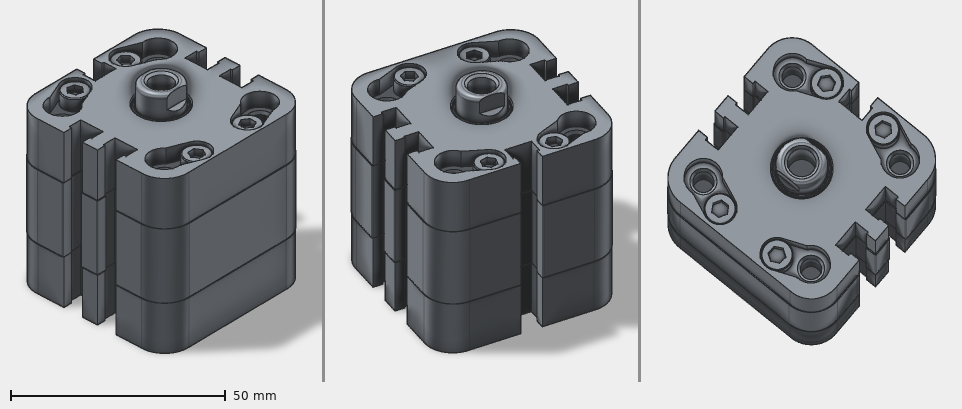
import cadquery as cq
import math

cap_height = 14.1
barrel_height = 20.8
housing_height = 2 * cap_height + barrel_height
rod_projection = 6.5
rod_tip = housing_height + rod_projection
front_cap_base = cap_height + barrel_height

barrel_width = 49.0
barrel_corner_radius = 8.0
cap_setback = 0.25
cap_width = barrel_width - 2 * cap_setback
corner_start = barrel_width / 2 - barrel_corner_radius
cap_corner_setback = 0.1
cap_corner_reach = corner_start + (barrel_corner_radius - cap_corner_setback) / math.sqrt(2)

cap_slot_floor = 17.75
barrel_slot_floor = 18.0
slot_neck_end = 21.6
slot_overrun = 1.0
side_slot_inner_half = 3.5
side_slot_mouth_half = 2.85
rib_web_half = 1.9
cap_rib_half = 2.4
cap_mouth_edge = 8.3
cap_inner_edge = 9.05
barrel_rib_half = 2.65
barrel_mouth_edge = 8.35
barrel_inner_edge = 8.75
barrel_mouth_fillet = 0.25

mount_offset = 16.25
mount_recess_diameter = 9.0
mount_hole_diameter = 4.92
mount_hole_chamfer = 0.7
mount_hole_depth = 9.0
pocket_depth = 4.5
screw_x = 19.4
screw_y = 8.6
screw_pocket_diameter = 7.9
screw_head_diameter = 7.5
screw_head_chamfer = 0.25
screw_head_drop = 0.8
screw_head_height = pocket_depth - screw_head_drop
hex_across_corners = 4.2
hex_depth = 2.0
screw_settings = [(1, 1, -3), (-1, 1, 46), (-1, -1, 18), (1, -1, 31)]

rod_diameter = 12.0
rod_tip_fillet = 1.3
flat_half_width = 5.0
flat_length = 4.3
flat_runout = rod_diameter / 2 - flat_half_width
rod_thread_diameter = 6.65
rod_thread_mouth_diameter = 8.0
rod_thread_depth = 12.0

wiper_seat_diameter = 14.0
wiper_seat_chamfer = 0.3
wiper_outer_diameter = 13.7
wiper_crest_diameter = 13.1
wiper_inner_diameter = 12.54
wiper_depth = 0.8
wiper_lip_drop = 0.2


def cap_block(base):
    """Square block, set back on its flats, whose full corners almost reach the barrel's corners."""
    half = cap_width / 2
    outline = cq.Workplane("XY", origin=(0, 0, base)).moveTo(half, -corner_start)
    for turn in range(4):
        angle = turn * math.pi / 2
        flat_end, corner_middle, next_flat_start = [
            (x * math.cos(angle) - y * math.sin(angle), x * math.sin(angle) + y * math.cos(angle))
            for x, y in ((half, corner_start), (cap_corner_reach, cap_corner_reach), (corner_start, half))
        ]
        outline = outline.lineTo(*flat_end).threePointArc(corner_middle, next_flat_start)
    return outline.close().extrude(cap_height)


def box_between(x0, x1, y0, y1, base, height):
    return cq.Workplane("XY").box(x1 - x0, y1 - y0, height, centered=False).translate((x0, y0, base))


def t_slots(base, height, slot_floor, rib_half, mouth_edge, inner_edge):
    """All five T-slots as one cutting tool."""
    outside = barrel_width / 2 + slot_overrun
    tool = box_between(
        -slot_neck_end, -slot_floor, -side_slot_inner_half, side_slot_inner_half, base, height
    )
    tool = tool.union(
        box_between(-outside, -slot_floor, -side_slot_mouth_half, side_slot_mouth_half, base, height)
    )
    right_slot = box_between(rib_web_half, inner_edge, slot_floor, slot_neck_end, base, height)
    right_slot = right_slot.union(box_between(rib_half, mouth_edge, slot_floor, outside, base, height))
    left_slot = right_slot.mirror("YZ")
    for slot in (right_slot, left_slot):
        tool = tool.union(slot).union(slot.mirror("XZ"))
    return tool


def cap(base):
    slots = t_slots(base, cap_height, cap_slot_floor, cap_rib_half, cap_mouth_edge, cap_inner_edge)
    return cap_block(base).cut(slots)


def barrel():
    block = (
        cq.Workplane("XY", origin=(0, 0, cap_height))
        .rect(barrel_width, barrel_width)
        .extrude(barrel_height)
        .edges("|Z").fillet(barrel_corner_radius)
    )
    slots = t_slots(
        cap_height, barrel_height, barrel_slot_floor, barrel_rib_half, barrel_mouth_edge, barrel_inner_edge
    )
    body = block.cut(slots)
    outside = barrel_width / 2
    mouth_corners = [(-outside, side * side_slot_mouth_half) for side in (-1, 1)]
    for edge in (barrel_rib_half, barrel_mouth_edge):
        mouth_corners += [(x, y) for x in (-edge, edge) for y in (-outside, outside)]
    middle = cap_height + barrel_height / 2
    for x, y in mouth_corners:
        body = body.edges(cq.selectors.NearestToPointSelector((x, y, middle))).fillet(barrel_mouth_fillet)
    return body


def corner_pocket():
    """Pocket in the +X +Y corner: mounting recess, screw recess and the channel between them."""
    floor = housing_height - pocket_depth
    plane = cq.Workplane("XY", origin=(0, 0, floor))
    pocket = plane.center(mount_offset, mount_offset).circle(mount_recess_diameter / 2).extrude(pocket_depth)
    dx = mount_offset - screw_x
    dy = mount_offset - screw_y
    channel = (
        cq.Workplane("XY", origin=(0, 0, floor))
        .center((mount_offset + screw_x) / 2, (mount_offset + screw_y) / 2)
        .transformed(rotate=(0, 0, math.degrees(math.atan2(dy, dx))))
        .slot2D(math.hypot(dx, dy) + screw_pocket_diameter, screw_pocket_diameter)
        .extrude(pocket_depth)
    )
    hole_plane = cq.Workplane("XY", origin=(mount_offset, mount_offset, floor))
    hole = hole_plane.circle(mount_hole_diameter / 2).extrude(-mount_hole_depth)
    mouth = cq.Workplane(cq.Solid.makeCone(
        mount_hole_diameter / 2, mount_hole_diameter / 2 + mount_hole_chamfer, mount_hole_chamfer,
        cq.Vector(mount_offset, mount_offset, floor - mount_hole_chamfer),
    ))
    return pocket.union(channel).union(hole).union(mouth)


def screw_head(x, y, hex_angle):
    """Socket head standing on the pocket floor, its hexagon turned as tightened."""
    pocket_floor = cq.Workplane("XY", origin=(x, y, housing_height - pocket_depth))
    head = (
        pocket_floor.circle(screw_head_diameter / 2)
        .extrude(screw_head_height)
        .faces(">Z").edges().chamfer(screw_head_chamfer)
    )
    socket = (
        cq.Workplane("XY", origin=(x, y, housing_height - screw_head_drop))
        .transformed(rotate=(0, 0, hex_angle))
        .polygon(6, hex_across_corners)
        .extrude(-hex_depth)
    )
    return head.cut(socket)


def all_corners(shape):
    right_pair = shape.union(shape.mirror("XZ"))
    return right_pair.union(right_pair.mirror("YZ"))


def wiper_recess():
    """Ring-shaped recess that leaves a thin wiper lip standing around the rod."""
    floor = housing_height - wiper_depth
    lip_top = housing_height - wiper_lip_drop
    seat_radius = wiper_seat_diameter / 2
    profile = [
        (rod_diameter / 2, floor),
        (wiper_inner_diameter / 2, lip_top),
        (wiper_crest_diameter / 2, lip_top),
        (wiper_outer_diameter / 2, floor),
        (seat_radius, floor),
        (seat_radius, housing_height - wiper_seat_chamfer),
        (seat_radius + wiper_seat_chamfer, housing_height),
        (rod_diameter / 2, housing_height),
    ]
    return cq.Workplane("XZ").polyline(profile).close().revolve(360, (0, 0, 0), (0, 1, 0))


def front_cap():
    """Front cap with its four screw heads, bored for the rod."""
    body = cap(front_cap_base).cut(all_corners(corner_pocket()))
    for x_side, y_side, hex_angle in screw_settings:
        body = body.union(screw_head(x_side * screw_x, y_side * screw_y, hex_angle))
    rod_bore = cq.Workplane("XY", origin=(0, 0, front_cap_base)).circle(rod_diameter / 2).extrude(cap_height)
    return body.cut(rod_bore).cut(wiper_recess())


def piston_rod():
    """Rod with two wrench flats and a threaded hole in its tip."""
    rod = (
        cq.Workplane("XY", origin=(0, 0, front_cap_base))
        .circle(rod_diameter / 2)
        .extrude(rod_tip - front_cap_base)
        .faces(">Z").edges().fillet(rod_tip_fillet)
    )
    outside = rod_diameter / 2 + flat_runout
    flat_base = rod_tip - flat_length
    flat_profile = [
        (flat_half_width, rod_tip),
        (flat_half_width, flat_base),
        (outside, flat_base - (outside - flat_half_width)),
        (outside, rod_tip),
    ]
    flat = cq.Workplane("XZ").polyline(flat_profile).close().extrude(rod_diameter / 2, both=True)
    rod = rod.cut(flat).cut(flat.mirror("YZ"))
    thread = cq.Workplane("XY", origin=(0, 0, rod_tip)).circle(rod_thread_diameter / 2).extrude(-rod_thread_depth)
    mouth_depth = (rod_thread_mouth_diameter - rod_thread_diameter) / 2
    mouth = cq.Workplane(cq.Solid.makeCone(
        rod_thread_diameter / 2, rod_thread_mouth_diameter / 2, mouth_depth,
        cq.Vector(0, 0, rod_tip - mouth_depth),
    ))
    return rod.cut(thread).cut(mouth)


rear_cap = cap(0)
result = cq.Compound.makeCompound([rear_cap.val(), barrel().val(), front_cap().val(), piston_rod().val()])